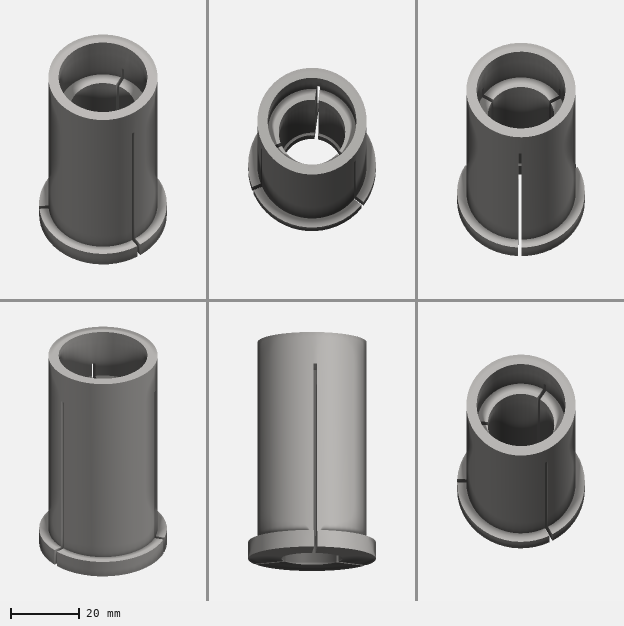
import cadquery as cq
total_height = 64.6
flange_diameter = 37.5
flange_height = 5.0
body_diameter = 32.05

socket_diameter = 26.05
socket_depth = 15.0
bore_diameter = 19.5
lip_diameter = 17.95
lip_height = flange_height

slot_count = 3
slot_width = 1.05
first_slot_angle = 90
slot_outer_top = 55.25
slot_inner_top = 53.9


def cylinder(diameter, bottom, top):
    """Upright cylinder on the Z axis between two heights."""
    return cq.Workplane("XY", origin=(0, 0, bottom)).circle(diameter / 2).extrude(top - bottom)


def radial_slot(angle):
    """Slot from the axis out past the flange, open at the bottom, with a sloping top."""
    outer_radius = body_diameter / 2
    inner_radius = socket_diameter / 2
    top_slope = (slot_outer_top - slot_inner_top) / (outer_radius - inner_radius)
    axis_top = slot_outer_top - top_slope * outer_radius
    end_top = axis_top + top_slope * flange_diameter
    outline = [(0, 0), (flange_diameter, 0), (flange_diameter, end_top), (0, axis_top)]
    slot = cq.Workplane("XZ").polyline(outline).close().extrude(slot_width / 2, both=True)
    return slot.rotate((0, 0, 0), (0, 0, 1), angle)


sleeve = cylinder(flange_diameter, 0, flange_height)
sleeve = sleeve.union(cylinder(body_diameter, 0, total_height))

sleeve = sleeve.cut(cylinder(socket_diameter, total_height - socket_depth, total_height))
sleeve = sleeve.cut(cylinder(bore_diameter, lip_height, total_height))
sleeve = sleeve.cut(cylinder(lip_diameter, 0, total_height))

for index in range(slot_count):
    sleeve = sleeve.cut(radial_slot(first_slot_angle + index * 360 / slot_count))

result = sleeve